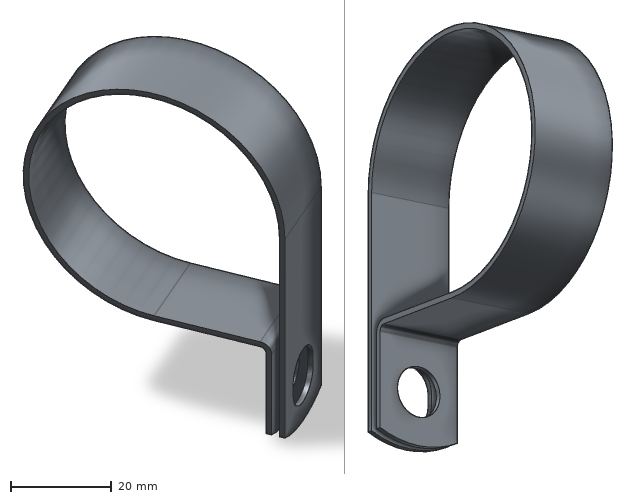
import cadquery as cq

total_height = 79.8
outer_diameter = 56.4
band_width = 19.1
thickness = 1.2
leg_gap = 1.7
bend_outer_radius = 2.5
hole_diameter = 10.45
slot_length = 13.0
hole_to_tip = 11.2
tip_sagitta = 2.15

outer_radius = outer_diameter / 2
inner_radius = outer_radius - thickness
bottom_z = outer_radius - total_height
short_leg_right = inner_radius - leg_gap
short_leg_left = short_leg_right - thickness
bend_inner_radius = bend_outer_radius - thickness
bend_x = short_leg_right - bend_outer_radius
bend_z = -inner_radius - bend_outer_radius
hole_z = bottom_z + hole_to_tip
half_width = band_width / 2


def bent_strip():
    """Strip profile: long leg, three-quarter loop, flat floor, bend and short leg."""
    diagonal = 0.5 ** 0.5
    outer_mid = outer_radius * diagonal
    inner_mid = inner_radius * diagonal
    bend_outer_mid = bend_outer_radius * diagonal
    bend_inner_mid = bend_inner_radius * diagonal
    return (
        cq.Workplane("XZ")
        .moveTo(outer_radius, bottom_z)
        .lineTo(outer_radius, 0)
        .threePointArc((-outer_mid, outer_mid), (0, -outer_radius))
        .lineTo(bend_x, -outer_radius)
        .threePointArc((bend_x + bend_inner_mid, bend_z + bend_inner_mid), (short_leg_left, bend_z))
        .lineTo(short_leg_left, bottom_z)
        .lineTo(short_leg_right, bottom_z)
        .lineTo(short_leg_right, bend_z)
        .threePointArc((bend_x + bend_outer_mid, bend_z + bend_outer_mid), (bend_x, -inner_radius))
        .lineTo(0, -inner_radius)
        .threePointArc((-inner_mid, inner_mid), (inner_radius, 0))
        .lineTo(inner_radius, bottom_z)
        .close()
        .extrude(half_width, both=True)
    )


def side_envelope():
    """Block with an arched bottom that rounds the ends of both legs."""
    corner_z = bottom_z + tip_sagitta
    return (
        cq.Workplane("YZ")
        .moveTo(-half_width, outer_radius)
        .lineTo(-half_width, corner_z)
        .threePointArc((0, bottom_z), (half_width, corner_z))
        .lineTo(half_width, outer_radius)
        .close()
        .extrude(outer_radius, both=True)
    )


def short_leg_hole():
    """Round hole along X through the short leg, ending in the gap between the legs."""
    return (
        cq.Workplane("YZ")
        .center(0, hole_z)
        .circle(hole_diameter / 2)
        .extrude(inner_radius)
    )


def long_leg_slot():
    """Upright slot along X through the long leg, centred on the round hole."""
    return (
        cq.Workplane("YZ")
        .workplane(offset=inner_radius)
        .center(0, hole_z)
        .slot2D(slot_length, hole_diameter, 90)
        .extrude(thickness)
    )


clamp_band = bent_strip().intersect(side_envelope())
result = clamp_band.cut(short_leg_hole()).cut(long_leg_slot())